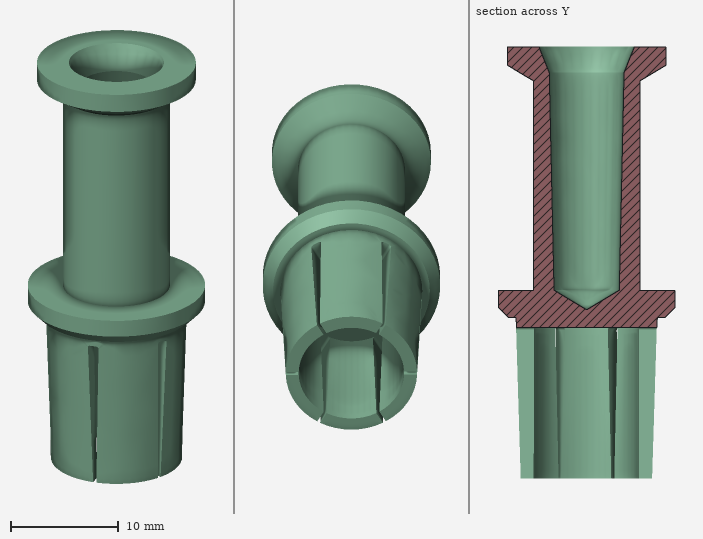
import cadquery as cq
import math

total_height = 40.1
shaft_radius = 4.97
head_radius = 7.38
head_rim_height = 1.72
head_cone_height = 1.45
flange_diameter = 16.5
flange_radius = flange_diameter / 2
flange_bottom = 14.95
flange_top = 17.52
flange_chamfer = 0.95
skirt_bottom_radius = 6.1
skirt_top_radius = 6.58

countersink_radius = 4.4
countersink_depth = 2.4
bore_radius = 3.45
bore_end_radius = 3.0
bore_end_height = flange_top
drill_point_angle = 118

cavity_radius = 4.9
cavity_height = 14.05
slot_count = 6
slot_bottom_width = 0.32
slot_top_width = 1.05
slot_corner_radius = 0.25


def outer_body():
    """Revolved shaft with its head, flange and tapered skirt."""
    head_rim_bottom = total_height - head_rim_height
    profile = [
        (0, 0),
        (skirt_bottom_radius, 0),
        (skirt_top_radius, flange_bottom),
        (flange_radius - flange_chamfer, flange_bottom),
        (flange_radius, flange_bottom + flange_chamfer),
        (flange_radius, flange_top),
        (shaft_radius, flange_top),
        (shaft_radius, head_rim_bottom - head_cone_height),
        (head_radius, head_rim_bottom),
        (head_radius, total_height),
        (0, total_height),
    ]
    return cq.Workplane("XZ").polyline(profile).close().revolve(360, (0, 0), (0, 1))


def bore():
    """Countersunk, slightly tapered blind bore with a conical floor."""
    point_depth = bore_end_radius / math.tan(math.radians(drill_point_angle / 2))
    profile = [
        (0, bore_end_height - point_depth),
        (bore_end_radius, bore_end_height),
        (bore_radius, total_height - countersink_depth),
        (countersink_radius, total_height),
        (0, total_height),
    ]
    return cq.Workplane("XZ").polyline(profile).close().revolve(360, (0, 0), (0, 1))


def finger_slot(angle):
    """Radial slot from the axis outward, narrowing downward, with rounded upper corners."""
    taper = [
        (-slot_bottom_width / 2, 0),
        (slot_bottom_width / 2, 0),
        (slot_top_width / 2, cavity_height),
        (-slot_top_width / 2, cavity_height),
    ]
    slot = cq.Workplane("YZ").polyline(taper).close().extrude(flange_radius)
    slot = slot.edges("|X and >Z").fillet(slot_corner_radius)
    return slot.rotate((0, 0, 0), (0, 0, 1), angle)


cavity = cq.Workplane("XY").circle(cavity_radius).extrude(cavity_height)
result = outer_body().cut(bore()).cut(cavity)
for index in range(slot_count):
    result = result.cut(finger_slot(index * 360 / slot_count))